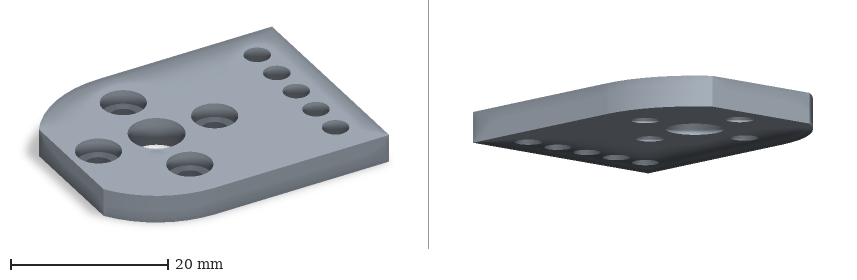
import cadquery as cq
import math

end_radius = 15.0
length = 38.0
thickness = 4.0
flat_distance = 12.5
width = 2 * end_radius
back_y = length - flat_distance

bore_diameter = 7.37
screw_diameter = 3.5
screw_circle_radius = 8.5
screw_count = 4
head_diameter = 6.0
head_depth = 2.0

row_count = 5
row_pitch = 5.0
row_y = back_y - row_pitch


def make_plate():
    half_width = width / 2
    half_flat = math.sqrt(end_radius**2 - flat_distance**2)
    mid_angle = math.atan2(flat_distance, half_flat) / 2
    mid_x = end_radius * math.cos(mid_angle)
    mid_y = -end_radius * math.sin(mid_angle)
    return (
        cq.Workplane("XY")
        .moveTo(-half_width, back_y)
        .lineTo(half_width, back_y)
        .lineTo(half_width, 0)
        .threePointArc((mid_x, mid_y), (half_flat, -flat_distance))
        .lineTo(-half_flat, -flat_distance)
        .threePointArc((-mid_x, mid_y), (-half_width, 0))
        .close()
        .extrude(thickness)
    )


def on_top(plate):
    return plate.faces(">Z").workplane(origin=(0, 0, thickness))


plate = make_plate()
plate = on_top(plate).hole(bore_diameter)
plate = (
    on_top(plate)
    .polarArray(screw_circle_radius, 0, 360, screw_count)
    .cboreHole(screw_diameter, head_diameter, head_depth)
)
plate = (
    on_top(plate)
    .center(0, row_y)
    .rarray(row_pitch, 0.38, row_count, 1)
    .hole(screw_diameter)
)

result = plate